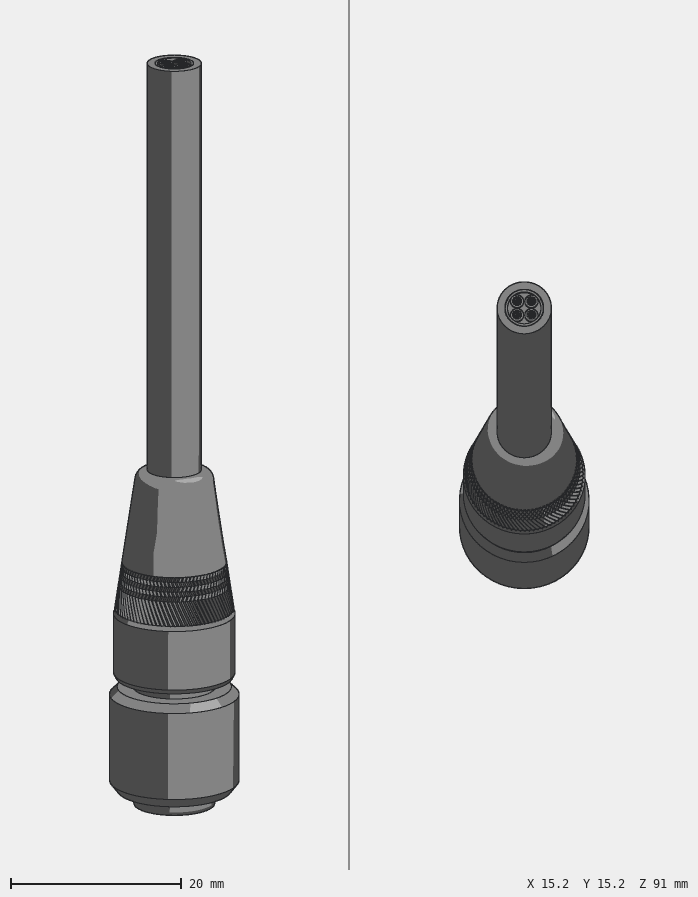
import cadquery as cq
import math

cable_end_z = 91
boot_top_z = 41.15
knurl_top_z = 29.8
knurl_bottom_z = 24.0
body_bottom_z = 15.75
nut_top_z = 14.5
nut_bottom_z = 1.8
insert_bottom_z = 0.14

cable_diameter = 6.4
boot_top_diameter = 8.9
body_diameter = 14.3
neck_diameter = 9.65
nut_diameter = 15.2
insert_diameter = neck_diameter
knurl_bottom_diameter = 14.0

boot_fillet = 1.3
body_chamfer = 0.3
body_chamfer_height = 0.55
nut_top_chamfer = 0.9
nut_bottom_chamfer = 0.9
nut_bottom_chamfer_height = 1.2
insert_chamfer = 0.1
insert_chamfer_height = 0.4

knurl_teeth = 84
knurl_rows = 10
knurl_depth = 0.3

keyway_width = 2.9
keyway_depth = 0.9

contact_diameter = 1.3
contact_offset = 2.5

core_bore_diameter = 4.55
shield_outer_diameter = 4.5
shield_inner_diameter = 3.9
wire_diameter = 1.55
wire_count = 4
first_wire_angle = 27
strand_diameter = 0.2
strand_pitch = 0.22
strand_rings = 2
strands_per_ring = 6
core_depth = 0.4
core_floor_z = cable_end_z - core_depth
wire_setback = 0.1


def boot_radius(z):
    """Outer radius of the tapered boot at height z."""
    slope = (knurl_bottom_diameter - boot_top_diameter) / 2 / (boot_top_z - knurl_bottom_z)
    return boot_top_diameter / 2 + slope * (boot_top_z - z)


def cylinder(diameter, bottom_z, top_z):
    return cq.Workplane("XY").workplane(offset=bottom_z).circle(diameter / 2).extrude(top_z - bottom_z)


def toothed_outline(z, first_tooth):
    """Closed outline of the knurl at height z, with teeth at every second corner."""
    points = []
    for i in range(2 * knurl_teeth):
        radius = boot_radius(z) - (knurl_depth if (i + first_tooth) % 2 else 0)
        angle = math.pi * i / knurl_teeth
        points.append(cq.Vector(radius * math.cos(angle), radius * math.sin(angle), z))
    return cq.Wire.makePolygon(points, close=True)


def make_knurl():
    """Diamond knurl on the boot taper: each row of teeth sits between those of the next row."""
    row_pitch = (knurl_top_z - knurl_bottom_z) / knurl_rows
    outlines = [toothed_outline(knurl_bottom_z + i * row_pitch, i) for i in range(knurl_rows + 1)]
    return cq.Workplane(cq.Solid.makeLoft(outlines, True))


def make_boot():
    cone = cq.Solid.makeCone(
        boot_radius(knurl_top_z),
        boot_top_diameter / 2,
        boot_top_z - knurl_top_z,
        pnt=(0, 0, knurl_top_z),
    )
    smooth_part = cq.Workplane(cone).faces(">Z").edges().fillet(boot_fillet)
    return smooth_part.union(make_knurl())


def make_body():
    body = cylinder(body_diameter, body_bottom_z, knurl_bottom_z)
    body = body.faces(">Z").edges().chamfer(body_chamfer_height, body_chamfer)
    return body.faces("<Z").edges().chamfer(body_chamfer_height, body_chamfer)


def make_nut():
    nut = cylinder(nut_diameter, nut_bottom_z, nut_top_z)
    nut = nut.faces(">Z").edges().chamfer(nut_top_chamfer)
    return nut.faces("<Z").edges().chamfer(nut_bottom_chamfer_height, nut_bottom_chamfer)


def make_insert():
    insert = cylinder(insert_diameter, insert_bottom_z, nut_bottom_z)
    insert = insert.faces("<Z").edges().chamfer(insert_chamfer_height, insert_chamfer)
    keyway = (
        cq.Workplane("XY", origin=(0, insert_diameter / 2, insert_bottom_z))
        .rect(keyway_width, 2 * keyway_depth)
        .extrude(nut_bottom_z - insert_bottom_z)
    )
    contacts = (
        cq.Workplane("XY")
        .rect(2 * contact_offset, 2 * contact_offset, forConstruction=True)
        .vertices()
        .circle(contact_diameter / 2)
        .extrude(nut_bottom_z)
    )
    return insert.cut(keyway).union(contacts)


def make_wire():
    """One insulated wire along Z, its copper strands in rings and reaching the cable end."""
    wire = cylinder(wire_diameter, core_floor_z, cable_end_z - wire_setback)
    strand = cylinder(strand_diameter, core_floor_z, cable_end_z)
    wire = wire.union(strand)
    for ring in range(1, strand_rings + 1):
        ring_strand = strand.translate((ring * strand_pitch, 0, 0))
        strand_count = strands_per_ring * ring
        for i in range(strand_count):
            wire = wire.union(ring_strand.rotate((0, 0, 0), (0, 0, 1), i * 360 / strand_count))
    return wire


def make_cable():
    cable = cylinder(cable_diameter, boot_top_z, cable_end_z)
    cable = cable.cut(cylinder(core_bore_diameter, core_floor_z, cable_end_z))
    shield = cylinder(shield_outer_diameter, core_floor_z, cable_end_z)
    cable = cable.union(shield.cut(cylinder(shield_inner_diameter, core_floor_z, cable_end_z)))
    wire = make_wire()
    wire_offset = (shield_inner_diameter - wire_diameter) / 2
    for i in range(wire_count):
        angle = first_wire_angle + i * 360 / wire_count
        cable = cable.union(wire.translate((wire_offset, 0, 0)).rotate((0, 0, 0), (0, 0, 1), angle))
    return cable


neck = cylinder(neck_diameter, nut_top_z, body_bottom_z)
result = make_nut().union(make_insert()).union(neck).union(make_body()).union(make_boot()).union(make_cable())